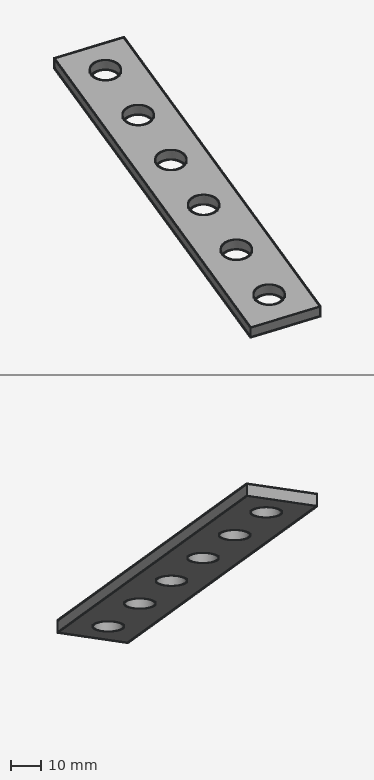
import cadquery as cq

hole_count = 6
length = 152.4
hole_pitch = length / hole_count
width = hole_pitch
thickness = 4.3
hole_diameter = 10.4

bar = cq.Workplane("XY").box(length, width, thickness)

result = (
    bar.faces(">Z")
    .workplane()
    .rarray(hole_pitch, width, hole_count, 1)
    .hole(hole_diameter)
)